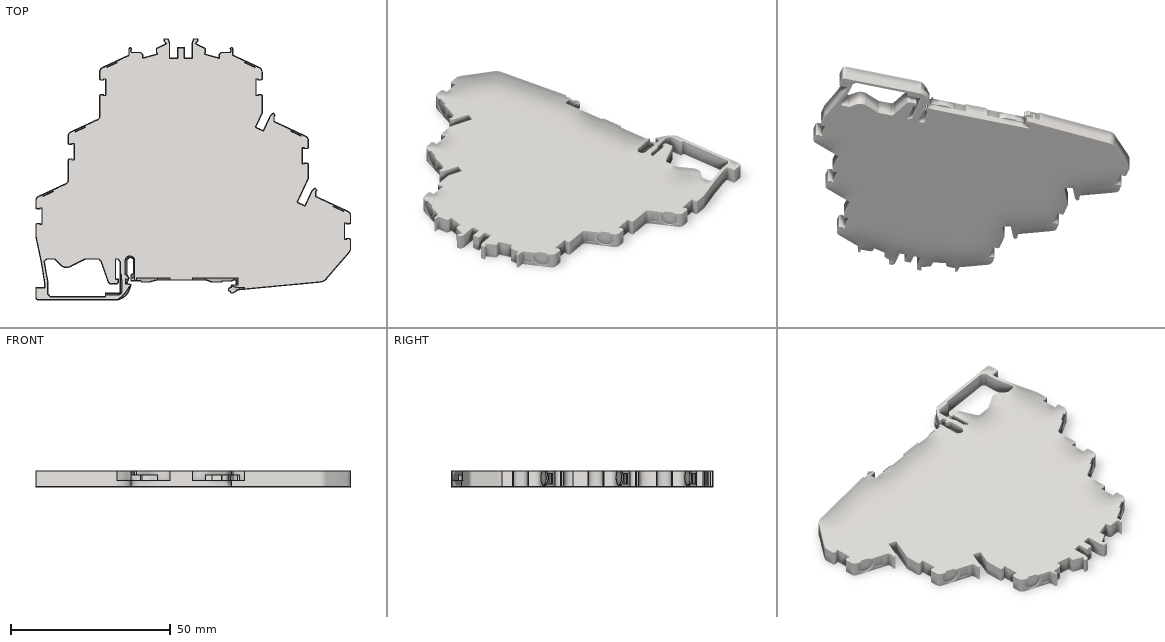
import cadquery as cq
import math

LENGTH = 98.73
HEIGHT = 81.85
THICKNESS = 5.0
MID_Z = THICKNESS / 2
OVERCUT = 1.0

SLOPE_DEG = 25.0
SLOPE = math.tan(math.radians(SLOPE_DEG))
SHOULDER_RISE = 3.25
TOWER_SHOULDER_RADIUS = 1.8
TIER_SHOULDER_RADIUS = 1.5
SLOPE_ROOT_RADIUS = 1.0
TOWER_LEFT = 20.0
TOWER_RIGHT = 71.0
TOWER_MID = (TOWER_LEFT + TOWER_RIGHT) / 2
TOWER_NOTCH_TOP = 69.2
LEFT_TIER_DROP = 20.2

TOWER_LEFT_TIER = (TOWER_LEFT, TOWER_NOTCH_TOP)
LEFT_MIDDLE_TIER = (10.1, TOWER_NOTCH_TOP - LEFT_TIER_DROP)
LEFT_LOW_TIER = (0.0, TOWER_NOTCH_TOP - 2 * LEFT_TIER_DROP)
TOWER_RIGHT_TIER = (TOWER_RIGHT, TOWER_NOTCH_TOP)
RIGHT_MIDDLE_TIER = (85.45, 47.7)
RIGHT_LOW_TIER = (LENGTH, 24.1)

NOTCH_DEPTH = 1.9
NOTCH_HEIGHT = 5.05
BUMP_HEIGHT = 0.25
BUMP_START = 0.45
BUMP_END = 1.3

MARKER_SLOT_WIDTH = 2.65
MIDDLE_SLOT_MOUTH_Y = 58.6
MIDDLE_SLOT_DEPTH = 4.9
LOW_SLOT_MOUTH_Y = 38.05
LOW_SLOT_DEPTH = 8.2
LIP_HEIGHT = 5.3
LIP_BARB = [(0.9, 0.75), (1.5, 0.05), (1.15, -0.25)]

POST_X = 29.2
POST_BARB = [(POST_X, 78.85), (29.65, 79.2), (30.05, 78.8), (29.8, 78.25)]
SADDLE_Y = 77.6
SADDLE = [(30.0, SADDLE_Y), (32.9, SADDLE_Y), (33.55, 76.9)]
VALLEY = [(33.55, 75.85), (38.1, 77.1), (37.8, 77.75), (37.8, 78.85)]
HOOK_ROOT = (40.95, 80.35)
HOOK_TIP_X = 40.2
HOOK_TIP_Y = 81.2
HOOK_SHOULDER_X = 41.5
CHANNEL_HALF_WIDTH = 3.55
CHANNEL_FLOOR_Y = 75.85
CHANNEL_BEND_Y = 80.6
TONGUE_HALF_WIDTH = 1.05
TONGUE_TOP_Y = 79.1

WIRE_SEAT_RUN = 3.65
WIRE_SEAT_RADIUS = 2.6
WIRE_SEAT_Z = 2.9
WIRE_SEAT_DEPTH = 0.55
DRIVER_RUN = 7.8
DRIVER_LENGTH = 2.6
DRIVER_WIDTH = 3.25
DRIVER_DEPTH = 0.3

RIGHT_SIDE_END_Y = 15.7
LOWER_RIGHT_BEND = (97.9, 14.5)
LOWER_RIGHT_ARC_START = (91.3, 6.9)
LOWER_RIGHT_ARC_MID = (90.4, 6.0)
LOWER_RIGHT_ARC_END = (89.3, 5.6)
UNDERSIDE_END = (63.25, 3.15)

STEP_Z = 2.0
RIB_TOP_Z = 3.8
SEAT_Y = 6.2
RECESS_Y = 6.8
SEAT_RIGHT = 62.8
CLAW_BASE = [(61.3, 3.0), (61.3, 4.75), (SEAT_RIGHT, 4.75)]
CLAW_TIP = [(61.2, 2.15), (60.9, 2.7), (60.4, 2.9), (60.4, 3.65), (61.2, 4.0), (61.3, 4.6), (61.9, 4.6)]
CLAW_RIB_ROOT = [(63.9, 4.2), (63.9, 3.2), (63.25, 3.15), (61.9, 2.15)]
CLAW_SETBACK = [(61.2, 4.75), (61.9, 4.2), (63.6, 3.85), (65.5, 3.85), (65.5, 2.0), (61.2, 2.0)]
LEFT_RECESS = (31.6, 42.1)
RIGHT_RECESS = (49.1, 63.4)
CLAW_RECESS_Y = 4.7
LEFT_PAD = [(29.8, 6.0), (32.9, 5.95), (33.3, 5.6), (35.6, 5.6), (38.1, 6.3)]
RIGHT_PAD = [(53.2, 6.3), (55.2, 5.6), (58.3, 5.6), (58.4, 5.9), (61.2, 5.9), (62.1, 6.3)]

SLOT_LEFT = 28.65
SLOT_RIGHT = 30.7
SLOT_SHOULDER_Y = 12.5
SLOT_TOP_Y = 13.25
SLOT_KEEPER = [(29.8, 6.0), (29.8, 7.8), (30.7, 8.5)]
LATCH_EDGE = [(SLOT_LEFT, 7.8), (29.2, 7.0), (29.05, 6.25), (28.4, 5.2), (29.85, 4.8), (29.5, 3.7)]
LATCH_ARC_MID = (28.35, 1.55)
LATCH_ARC_END = (25.5, 0.0)
UPPER_SLOT_LEFT = 28.0
UPPER_SLOT_RIGHT = 31.0
UPPER_SLOT_TOP_Y = 13.75
UPPER_SLOT_BOTTOM_Y = 8.0
LATCH_SETBACK = 0.5
THROAT_SETBACK = [(28.2, 6.6), (29.3, 6.6), (29.3, 5.0), (28.2, 5.0)]

FOOT_TOP_Y = 3.85
FOOT_INNER_Y = 1.0
FOOT_NECK_X = 2.75
FOOT_NECK_Y = 5.4
FOOT_CORNER_RADIUS = 0.85
LEG_BEND = (1.7, 11.9)
LEFT_SIDE_END_Y = 19.9
WINDOW_TOP_Y = 12.8
LEG = [(4.6, FOOT_INNER_Y), (3.75, 1.9), (3.75, 5.9), (2.65, 12.1), (3.4, WINDOW_TOP_Y)]
WINDOW_CREST = [(5.9, WINDOW_TOP_Y), (7.7, 11.0)]
CREST_ARC_MID = (9.3, 10.2)
CREST_ARC_END = (11.1, 10.6)
TOOTH = [(15.5, WINDOW_TOP_Y), (19.8, WINDOW_TOP_Y), (20.4, 12.2), (22.75, 5.5), (23.3, 5.05)]
TOOTH_TIP = [(25.5, 5.05), (25.9, 5.5), (25.9, 6.5), (25.05, 6.5)]
BEAM_LEFT_X = 26.45
BEAM_FOOT_X = 26.4
NARROW_SLOT_TOP = [(25.05, WINDOW_TOP_Y), (25.8, WINDOW_TOP_Y), (BEAM_LEFT_X, 11.9)]
BEAM_SETBACK = [(26.2, 8.2), (26.75, 8.2), (27.1, 4.9), (27.1, 2.6), (26.4, 1.7), (26.2, 1.7)]
STOP_LEFT = 21.8
STOP_RIGHT = 26.1
STOP_LOW_Y = 1.55
STOP_TOP_Y = 2.15


def offset(point, steps):
    """Points placed at the given offsets from one point."""
    return [(point[0] + dx, point[1] + dy) for dx, dy in steps]


def shoulder(tier):
    """Sharp corner where the slope of a tier meets its side face."""
    side_x, notch_top = tier
    return (side_x, notch_top + SHOULDER_RISE)


def slope_point(tier, x):
    """Point of a tier's slope at the given X."""
    corner_x, corner_y = shoulder(tier)
    return (x, corner_y + SLOPE * abs(x - corner_x))


def notch(tier, inward):
    """Side notch, from top to bottom; inward is +1 on a left side and -1 on a right side."""
    side_x, top = tier
    bottom = top - NOTCH_HEIGHT
    start_x = side_x + inward * BUMP_START
    end_x = side_x + inward * BUMP_END
    wall_x = side_x + inward * NOTCH_DEPTH
    bump_y = top - BUMP_HEIGHT
    upper = [(side_x, top), (start_x, bump_y), (end_x, bump_y), (end_x, top), (wall_x, top)]
    lower = [(x, top + bottom - y) for x, y in reversed(upper)]
    return upper + lower


def left_tiers():
    """Left side from the crown post down to the low tier's notch."""
    points = [slope_point(TOWER_LEFT_TIER, POST_X)]
    points += [shoulder(TOWER_LEFT_TIER)] + notch(TOWER_LEFT_TIER, 1)
    for upper, tier in [(TOWER_LEFT_TIER, LEFT_MIDDLE_TIER), (LEFT_MIDDLE_TIER, LEFT_LOW_TIER)]:
        points += [slope_point(tier, upper[0]), shoulder(tier)] + notch(tier, 1)
    return points


def marker_slot(wall_x, mouth_y, depth, tier):
    """Slanted slot below a side wall, with the barbed lip that leads to the next slope."""
    along = (math.sin(math.radians(SLOPE_DEG)), math.cos(math.radians(SLOPE_DEG)))
    inner = (wall_x - depth * along[0], mouth_y - depth * along[1])
    outer = (inner[0] + MARKER_SLOT_WIDTH * along[1], inner[1] - MARKER_SLOT_WIDTH * along[0])
    flank_end = (outer[0] + LIP_HEIGHT * along[0], outer[1] + LIP_HEIGHT * along[1])
    barb = offset(flank_end, LIP_BARB)
    return [(wall_x, mouth_y), inner, outer, flank_end] + barb + [slope_point(tier, barb[-1][0])]


def right_tiers():
    """Right side from the crown down to the end of the low side face."""
    points = [shoulder(TOWER_RIGHT_TIER)] + notch(TOWER_RIGHT_TIER, -1)
    points += marker_slot(TOWER_RIGHT, MIDDLE_SLOT_MOUTH_Y, MIDDLE_SLOT_DEPTH, RIGHT_MIDDLE_TIER)
    points += [shoulder(RIGHT_MIDDLE_TIER)] + notch(RIGHT_MIDDLE_TIER, -1)
    points += marker_slot(RIGHT_MIDDLE_TIER[0], LOW_SLOT_MOUTH_Y, LOW_SLOT_DEPTH, RIGHT_LOW_TIER)
    points += [shoulder(RIGHT_LOW_TIER)] + notch(RIGHT_LOW_TIER, -1)
    return points + [(LENGTH, RIGHT_SIDE_END_Y)]


def crown():
    """Top of the tower from the left post to the right post."""
    channel_left = TOWER_MID - CHANNEL_HALF_WIDTH
    tongue_left = TOWER_MID - TONGUE_HALF_WIDTH
    half = POST_BARB + SADDLE + VALLEY + [HOOK_ROOT]
    half += [(HOOK_TIP_X, HOOK_TIP_Y), (HOOK_TIP_X, HEIGHT), (HOOK_SHOULDER_X, HEIGHT)]
    half += [(channel_left, CHANNEL_BEND_Y), (channel_left, CHANNEL_FLOOR_Y)]
    half += [(tongue_left, CHANNEL_FLOOR_Y), (tongue_left, TONGUE_TOP_Y)]
    right_post = slope_point(TOWER_RIGHT_TIER, 2 * TOWER_MID - POST_X)
    return half + [(2 * TOWER_MID - x, y) for x, y in reversed(half)] + [right_post]


def extend(sketch, points):
    """Continue an open outline with straight lines."""
    for point in points:
        sketch = sketch.lineTo(*point)
    return sketch


def plate():
    """Full-thickness plate with its outer contour, including the release slot."""
    start, *left_side = left_tiers()
    sketch = extend(cq.Workplane("XY").moveTo(*start), left_side)
    leg = [(0, LEFT_SIDE_END_Y), LEG_BEND, (FOOT_NECK_X, FOOT_NECK_Y)]
    foot = [(FOOT_NECK_X, FOOT_TOP_Y), (0, FOOT_TOP_Y), (0, 0), LATCH_ARC_END]
    sketch = extend(sketch, leg + foot)
    sketch = sketch.threePointArc(LATCH_ARC_MID, LATCH_EDGE[-1])
    sketch = extend(sketch, LATCH_EDGE[-2::-1] + [(SLOT_LEFT, SLOT_SHOULDER_Y)])
    sketch = sketch.threePointArc(((SLOT_LEFT + SLOT_RIGHT) / 2, SLOT_TOP_Y), (SLOT_RIGHT, SLOT_SHOULDER_Y))
    sketch = extend(sketch, SLOT_KEEPER[::-1] + [(LEFT_RECESS[0], SEAT_Y), (SEAT_RIGHT, SEAT_Y)])
    sketch = extend(sketch, CLAW_BASE[::-1] + [UNDERSIDE_END, LOWER_RIGHT_ARC_END])
    sketch = sketch.threePointArc(LOWER_RIGHT_ARC_MID, LOWER_RIGHT_ARC_START)
    right_side = crown() + right_tiers()
    return extend(sketch, [LOWER_RIGHT_BEND] + right_side[::-1]).close().extrude(THICKNESS)


def round_corners(body):
    """Round the shoulders, the upper ends of the left slopes and the outer corner of the foot."""
    tower = [TOWER_LEFT_TIER, TOWER_RIGHT_TIER]
    lower = [LEFT_MIDDLE_TIER, LEFT_LOW_TIER, RIGHT_MIDDLE_TIER, RIGHT_LOW_TIER]
    roots = [slope_point(LEFT_MIDDLE_TIER, TOWER_LEFT), slope_point(LEFT_LOW_TIER, LEFT_MIDDLE_TIER[0])]
    rounds = [(shoulder(tier), TOWER_SHOULDER_RADIUS) for tier in tower]
    rounds += [(shoulder(tier), TIER_SHOULDER_RADIUS) for tier in lower]
    rounds += [(root, SLOPE_ROOT_RADIUS) for root in roots]
    rounds += [((0, 0), FOOT_CORNER_RADIUS)]
    for (x, y), radius in rounds:
        body = body.edges(cq.selectors.NearestToPointSelector((x, y, MID_Z))).fillet(radius)
    return body


def prism(points, bottom, top):
    """Straight prism over a closed polygon between two heights."""
    return cq.Workplane("XY").workplane(offset=bottom).polyline(points).close().extrude(top - bottom)


def box(left, right, low, high, bottom, top):
    """Axis-aligned block between three pairs of limits."""
    return prism([(left, low), (right, low), (right, high), (left, high)], bottom, top)


def window():
    """Opening between the foot and the body, with the narrow slot beside the latch beam."""
    sketch = extend(cq.Workplane("XY").moveTo(*LEG[0]), LEG[1:] + WINDOW_CREST)
    sketch = sketch.threePointArc(CREST_ARC_MID, CREST_ARC_END)
    sketch = extend(sketch, TOOTH + TOOTH_TIP + NARROW_SLOT_TOP + [(BEAM_FOOT_X, STOP_TOP_Y)])
    sketch = extend(sketch, [(STOP_RIGHT, STOP_TOP_Y), (STOP_RIGHT, FOOT_INNER_Y)])
    return sketch.close().extrude(THICKNESS)


def foot_stop():
    """Stop block on the foot below the latch, with its top sloping down toward the upper face."""
    profile = [(FOOT_INNER_Y, 0), (STOP_TOP_Y, 0), (STOP_LOW_Y, THICKNESS), (FOOT_INNER_Y, THICKNESS)]
    section = cq.Workplane("YZ").workplane(offset=STOP_LEFT).polyline(profile).close()
    return section.extrude(STOP_RIGHT - STOP_LEFT)


def rail_recesses(body):
    """Set the rail contour back above STEP_Z along the seat, the slot and the latch."""
    seat_bottom = SEAT_Y - OVERCUT
    body = body.cut(box(*LEFT_RECESS, seat_bottom, RECESS_Y, STEP_Z, THICKNESS))
    body = body.cut(box(*RIGHT_RECESS, CLAW_RECESS_Y, RECESS_Y, STEP_Z, THICKNESS))
    for setback in [CLAW_SETBACK, BEAM_SETBACK, THROAT_SETBACK]:
        body = body.cut(prism(setback, STEP_Z, THICKNESS))
    slot = (
        cq.Workplane("XY")
        .workplane(offset=STEP_Z)
        .moveTo(UPPER_SLOT_LEFT, UPPER_SLOT_BOTTOM_Y)
        .lineTo(UPPER_SLOT_LEFT, SLOT_SHOULDER_Y)
        .threePointArc(
            ((UPPER_SLOT_LEFT + UPPER_SLOT_RIGHT) / 2, UPPER_SLOT_TOP_Y),
            (UPPER_SLOT_RIGHT, SLOT_SHOULDER_Y),
        )
        .lineTo(UPPER_SLOT_RIGHT, SLOT_KEEPER[0][1])
        .lineTo(*SLOT_KEEPER[0])
        .lineTo(*LATCH_EDGE[1])
        .close()
        .extrude(THICKNESS - STEP_Z)
    )
    return body.cut(slot).cut(latch_setback())


def latch_setback():
    """Crescent removed from the outer curve of the latch above STEP_Z."""
    end_x, end_y = LATCH_EDGE[-1]
    mid_x, mid_y = LATCH_ARC_MID
    return (
        cq.Workplane("XY")
        .workplane(offset=STEP_Z)
        .moveTo(*LATCH_ARC_END)
        .threePointArc((mid_x - LATCH_SETBACK, mid_y + LATCH_SETBACK), (end_x - LATCH_SETBACK, end_y))
        .lineTo(*LATCH_EDGE[-2])
        .lineTo(end_x + OVERCUT, end_y)
        .lineTo(end_x, end_y - LATCH_SETBACK)
        .lineTo(mid_x + OVERCUT, mid_y - OVERCUT)
        .close()
        .extrude(THICKNESS - STEP_Z)
    )


def rail_ribs():
    """Raised pads on the seat and the claw tip between STEP_Z and RIB_TOP_Z."""
    ribs = [prism(CLAW_TIP + CLAW_RIB_ROOT, STEP_Z, RIB_TOP_Z)]
    for pad in [LEFT_PAD, RIGHT_PAD]:
        back = [(pad[-1][0], RECESS_Y), (pad[0][0], RECESS_Y)]
        ribs.append(prism(pad + back, STEP_Z, RIB_TOP_Z))
    return ribs


def slope_plane(tier, inward, run, z):
    """Workplane on a tier's slope, its normal pointing out of the part."""
    x, y = slope_point(tier, tier[0] + inward * run)
    normal = (-inward * math.sin(math.radians(SLOPE_DEG)), math.cos(math.radians(SLOPE_DEG)), 0)
    return cq.Workplane(cq.Plane(origin=(x, y, z), xDir=(0, 0, 1), normal=normal))


def wire_entry(tier, inward):
    """Shallow round wire seat and rectangular screwdriver recess sunk into a tier's slope."""
    seat_plane = slope_plane(tier, inward, WIRE_SEAT_RUN, WIRE_SEAT_Z)
    seat = seat_plane.circle(WIRE_SEAT_RADIUS).extrude(-WIRE_SEAT_DEPTH)
    recess_plane = slope_plane(tier, inward, DRIVER_RUN, MID_Z)
    recess = recess_plane.rect(DRIVER_WIDTH, DRIVER_LENGTH).extrude(-DRIVER_DEPTH)
    return seat.union(recess)


def cut_wire_entries(body):
    """Cut a wire entry into the slope of all six tiers."""
    for tier in [TOWER_LEFT_TIER, LEFT_MIDDLE_TIER, LEFT_LOW_TIER]:
        body = body.cut(wire_entry(tier, 1))
    for tier in [TOWER_RIGHT_TIER, RIGHT_MIDDLE_TIER, RIGHT_LOW_TIER]:
        body = body.cut(wire_entry(tier, -1))
    return body


body = round_corners(plate()).cut(window()).union(foot_stop())
body = rail_recesses(body)
for rib in rail_ribs():
    body = body.union(rib)
result = cut_wire_entries(body)